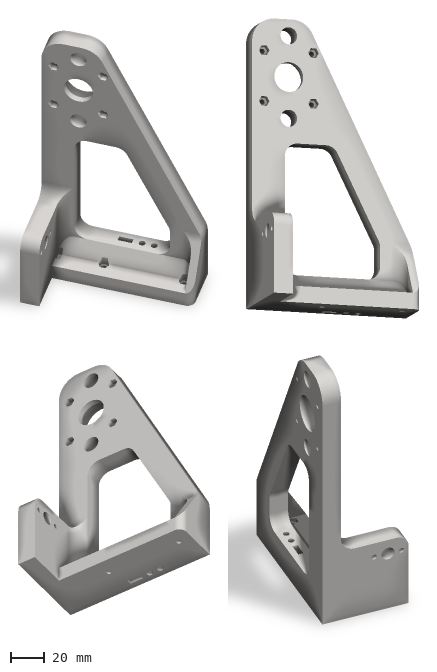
import cadquery as cq


width = 100.0
depth = 56.0
height = 175.0

plate_thickness = 12.0
plate_top_width = 33.8
plate_corner_radius = 14.0
window_left = 20.5
window_right = 80.0
window_top = 100.0
window_top_right = 51.1
window_slope_end = 41.8
window_corner_radius = 8.0

wall_thickness = 11.9
wall_height = 50.0
wall_corner_radius = 8.0
wall_root_radius = 9.0
wall_side_fillet_radius = 7.9

shelf_depth = 30.1
shelf_front_height = 10.0
shelf_back_height = 20.0
shelf_slope_depth = 19.0

gusset_thickness = 5.0
gusset_height = 40.0
gusset_root_radius = 10.0
gusset_side_fillet_radius = 6.6

bearing_x = 23.0
bearing_z = 140.0
shaft_hole_diameter = 18.0
bearing_seat_diameter = 22.8
bearing_seat_depth = 8.0
relief_hole_diameter = 10.3
relief_hole_offset = 25.0
motor_bolt_offset = 15.4

bolt_hole_diameter = 3.2
nut_sides = 6
nut_corner_diameter = 6.6
plate_nut_depth = 3.8
shelf_pocket_floor = 7.5
shelf_bolt_xs = (41.1, 91.2)
shelf_bolt_depth = 20.0

pocket_right = 14.9
pocket_width = 6.5
pocket_top = 13.5

wall_hole_depth = 42.5
wall_hole_z = 40.0
wall_hole_diameter = 8.4
wall_screw_diameter = 3.3
wall_screw_offset = 9.0

sill_depth = 5.8
sill_hole_diameter = 4.0
sill_hole_xs = (60.7, 68.2)
sill_slot_x = 50.4
sill_slot_length = 9.0
sill_slot_width = 3.3


def extrude_across(points, length):
    """Solid of a (depth, height) outline in the YZ plane, extruded from X = 0 toward +X."""
    outline = [(-point_depth, z) for point_depth, z in points]
    return cq.Workplane("YZ").polyline(outline).close().extrude(length)


def extrude_forward(points, length):
    """Solid of an (x, z) outline, extruded from the back face toward -Y."""
    return cq.Workplane("XZ").polyline(points).close().extrude(length)


def front_holes(points, diameter, length):
    """Round cutters running from the back face toward -Y."""
    return cq.Workplane("XZ").pushPoints(points).circle(diameter / 2).extrude(length)


def make_outline_prism():
    """Front outline of the part with its rounded corners, over the full depth."""
    outline = [(0, 0), (width, 0), (width, gusset_height), (plate_top_width, height), (0, height)]
    prism = extrude_forward(outline, depth)
    top_left = cq.selectors.NearestToPointSelector((0, -depth / 2, height))
    top_right = cq.selectors.NearestToPointSelector((plate_top_width, -depth / 2, height))
    right = cq.selectors.NearestToPointSelector((width, -depth / 2, gusset_height))
    return prism.edges("|Y").edges(top_left + top_right + right).fillet(plate_corner_radius)


def make_plate():
    return cq.Workplane("XY").box(width, plate_thickness, height, centered=False).translate(
        (0, -plate_thickness, 0)
    )


def make_window():
    outline = [
        (window_left, shelf_back_height),
        (window_right, shelf_back_height),
        (window_right, window_slope_end),
        (window_top_right, window_top),
        (window_left, window_top),
    ]
    return extrude_forward(outline, plate_thickness).edges("|Y").fillet(window_corner_radius)


def make_wall():
    """Side wall, curved into the plate along its top and along its inner face."""
    profile = [
        (0, 0),
        (depth, 0),
        (depth, wall_height),
        (plate_thickness, wall_height),
        (plate_thickness, height),
        (0, height),
    ]
    flared_width = wall_thickness + wall_side_fillet_radius
    side = extrude_across(profile, flared_width)
    front_edge = cq.selectors.NearestToPointSelector((flared_width / 2, -depth, wall_height))
    root_edge = cq.selectors.NearestToPointSelector((flared_width / 2, -plate_thickness, wall_height))
    side = side.edges(front_edge).fillet(wall_corner_radius)
    side = side.edges(root_edge).fillet(wall_root_radius)
    plan = (
        cq.Workplane("XY")
        .lineTo(flared_width, 0)
        .lineTo(flared_width, -plate_thickness)
        .radiusArc((wall_thickness, -plate_thickness - wall_side_fillet_radius), -wall_side_fillet_radius)
        .lineTo(wall_thickness, -depth)
        .lineTo(0, -depth)
        .close()
        .extrude(height)
    )
    return side.intersect(plan)


def make_gusset():
    """Sloping gusset, curved into the plate, with a quarter-round front corner."""
    profile = [
        (0, 0),
        (shelf_depth, 0),
        (shelf_depth, shelf_front_height),
        (plate_thickness, gusset_height),
        (plate_thickness, height),
        (0, height),
    ]
    flared_width = gusset_thickness + gusset_side_fillet_radius
    flared_left = width - flared_width
    inner_face = width - gusset_thickness
    side = extrude_across(profile, flared_width).translate((flared_left, 0, 0))
    root_edge = cq.selectors.NearestToPointSelector(
        (width - flared_width / 2, -plate_thickness, gusset_height)
    )
    side = side.edges(root_edge).fillet(gusset_root_radius)
    plan = (
        cq.Workplane("XY")
        .moveTo(width, 0)
        .lineTo(flared_left, 0)
        .lineTo(flared_left, -plate_thickness)
        .radiusArc((inner_face, -plate_thickness - gusset_side_fillet_radius), gusset_side_fillet_radius)
        .lineTo(inner_face, -shelf_depth)
        .radiusArc((width, -shelf_depth + gusset_thickness), -gusset_thickness)
        .close()
        .extrude(height)
    )
    return side.intersect(plan)


def make_shelf():
    profile = [
        (0, 0),
        (shelf_depth, 0),
        (shelf_depth, shelf_front_height),
        (shelf_slope_depth, shelf_front_height),
        (plate_thickness, shelf_back_height),
        (0, shelf_back_height),
    ]
    return extrude_across(profile, width - gusset_thickness)


def make_plate_holes():
    """Bearing seat with its shaft hole, two relief holes and four bolts with nut pockets."""
    center = (bearing_x, bearing_z)
    reliefs = [(bearing_x, bearing_z + side * relief_hole_offset) for side in (-1, 1)]
    bolts = [
        (bearing_x + side_x * motor_bolt_offset, bearing_z + side_z * motor_bolt_offset)
        for side_x in (-1, 1)
        for side_z in (-1, 1)
    ]
    nut_pockets = (
        cq.Workplane("XZ", origin=(0, -plate_thickness, 0))
        .pushPoints(bolts)
        .polygon(nut_sides, nut_corner_diameter)
        .extrude(-plate_nut_depth)
    )
    return (
        front_holes([center], shaft_hole_diameter, plate_thickness)
        .union(front_holes([center], bearing_seat_diameter, bearing_seat_depth))
        .union(front_holes(reliefs, relief_hole_diameter, plate_thickness))
        .union(front_holes(bolts, bolt_hole_diameter, plate_thickness))
        .union(nut_pockets)
    )


def make_shelf_cuts():
    """Bolt holes with nut pockets, and the rectangular pocket beside the wall."""
    bolts = [(x, -shelf_bolt_depth) for x in shelf_bolt_xs]
    nut_height = shelf_back_height - shelf_pocket_floor
    pocket_length = pocket_right - wall_thickness
    holes = cq.Workplane("XY").pushPoints(bolts).circle(bolt_hole_diameter / 2).extrude(shelf_back_height)
    floor = cq.Workplane("XY", origin=(0, 0, shelf_pocket_floor))
    nut_pockets = floor.pushPoints(bolts).polygon(nut_sides, nut_corner_diameter).extrude(nut_height)
    pocket = (
        floor.center(wall_thickness + pocket_length / 2, -shelf_bolt_depth)
        .rect(pocket_length, pocket_width)
        .extrude(pocket_top - shelf_pocket_floor)
    )
    return holes.union(nut_pockets).union(pocket)


def make_wall_holes():
    screws = [(-wall_hole_depth + side * wall_screw_offset, wall_hole_z) for side in (-1, 1)]
    face = cq.Workplane("YZ")
    screw_holes = face.pushPoints(screws).circle(wall_screw_diameter / 2).extrude(wall_thickness)
    center_hole = face.center(-wall_hole_depth, wall_hole_z).circle(wall_hole_diameter / 2)
    return screw_holes.union(center_hole.extrude(wall_thickness))


def make_sill_openings():
    """Two round holes and a slot that pass down through the sill of the window."""
    hole_points = [(x, -sill_depth) for x in sill_hole_xs]
    holes = cq.Workplane("XY").pushPoints(hole_points).circle(sill_hole_diameter / 2)
    slot = cq.Workplane("XY").center(sill_slot_x, -sill_depth).rect(sill_slot_length, sill_slot_width)
    return holes.extrude(shelf_back_height).union(slot.extrude(shelf_back_height))


body = make_plate().union(make_wall()).union(make_gusset()).union(make_shelf())
body = body.intersect(make_outline_prism())
result = (
    body.cut(make_window())
    .cut(make_plate_holes())
    .cut(make_shelf_cuts())
    .cut(make_wall_holes())
    .cut(make_sill_openings())
)